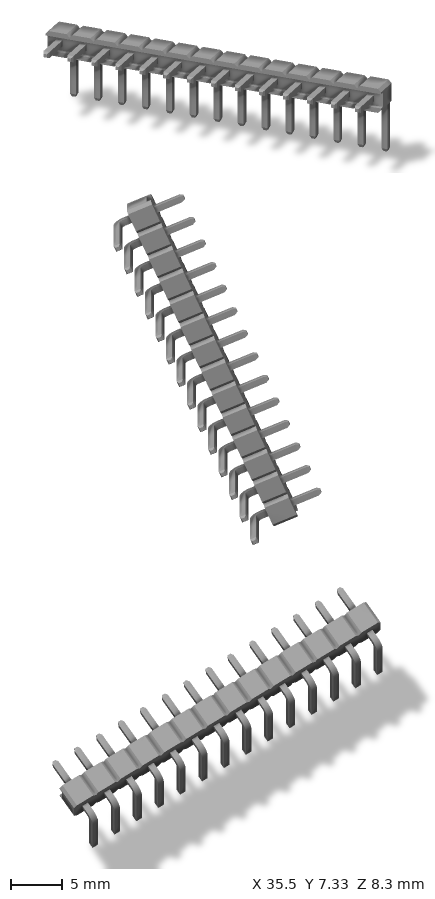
import cadquery as cq

PIN_COUNT = 14
LENGTH = 35.55
PITCH = LENGTH / PIN_COUNT
HOUSING_DEPTH = PITCH
HOUSING_HEIGHT = PITCH
CHAMFER_WIDTH = 0.32
CHAMFER_HEIGHT = 0.32
GROOVE_DEPTH = 0.43
GROOVE_HEIGHT = 1.5

WIRE = 0.65
OVERALL_DEPTH = 7.33
OVERALL_HEIGHT = 8.3
BACK_REACH = 1.8
BEND_INNER_RADIUS = 0.4
BEND_OUTER_RADIUS = BEND_INNER_RADIUS + WIRE
TIP_LENGTH = 0.32
TIP_INSET = 0.15

LEG_BACK = HOUSING_DEPTH / 2 + BACK_REACH
LEG_FRONT = LEG_BACK - WIRE
ARM_FRONT = LEG_BACK - OVERALL_DEPTH
ARM_TOP = WIRE / 2
ARM_BOTTOM = -WIRE / 2
LEG_BOTTOM = HOUSING_HEIGHT / 2 - OVERALL_HEIGHT


def segment(x):
    """One housing block with its four long edges chamfered."""
    half_width = PITCH / 2
    half_height = HOUSING_HEIGHT / 2
    flat_x = half_width - CHAMFER_WIDTH
    flat_z = half_height - CHAMFER_HEIGHT
    outline = [
        (-flat_x, half_height),
        (flat_x, half_height),
        (half_width, flat_z),
        (half_width, -flat_z),
        (flat_x, -half_height),
        (-flat_x, -half_height),
        (-half_width, -flat_z),
        (-half_width, flat_z),
    ]
    block = cq.Workplane("XZ").polyline(outline).close()
    return block.extrude(HOUSING_DEPTH / 2, both=True).translate((x, 0, 0))


def front_groove():
    """Channel along the whole front face, around the pins."""
    groove = cq.Workplane("XY").box(LENGTH, GROOVE_DEPTH, GROOVE_HEIGHT)
    return groove.translate((0, (GROOVE_DEPTH - HOUSING_DEPTH) / 2, 0))


def tip(plane):
    """Square tapered pin end, growing along the normal of the given plane."""
    end_width = WIRE - 2 * TIP_INSET
    base = cq.Workplane(plane).rect(WIRE, WIRE)
    return base.workplane(offset=TIP_LENGTH).rect(end_width, end_width).loft(ruled=True)


def pin(x):
    """Square wire bent down behind the housing, tapered at both ends."""
    arm_end = ARM_FRONT + TIP_LENGTH
    leg_end = LEG_BOTTOM + TIP_LENGTH
    bend_y = LEG_BACK - BEND_OUTER_RADIUS
    bend_z = ARM_TOP - BEND_OUTER_RADIUS
    wire = (
        cq.Workplane("YZ")
        .moveTo(arm_end, ARM_TOP)
        .lineTo(bend_y, ARM_TOP)
        .radiusArc((LEG_BACK, bend_z), BEND_OUTER_RADIUS)
        .lineTo(LEG_BACK, leg_end)
        .lineTo(LEG_FRONT, leg_end)
        .lineTo(LEG_FRONT, bend_z)
        .radiusArc((bend_y, ARM_BOTTOM), -BEND_INNER_RADIUS)
        .lineTo(arm_end, ARM_BOTTOM)
        .close()
        .extrude(WIRE / 2, both=True)
    )
    leg_middle = (LEG_BACK + LEG_FRONT) / 2
    arm_tip = tip(cq.Plane((0, arm_end, 0), (1, 0, 0), (0, -1, 0)))
    leg_tip = tip(cq.Plane((0, leg_middle, leg_end), (1, 0, 0), (0, 0, -1)))
    return wire.union(arm_tip).union(leg_tip).translate((x, 0, 0))


positions = [(i - (PIN_COUNT - 1) / 2) * PITCH for i in range(PIN_COUNT)]

housing = segment(positions[0])
for position in positions[1:]:
    housing = housing.union(segment(position))

result = housing.cut(front_groove())
for position in positions:
    result = result.union(pin(position))